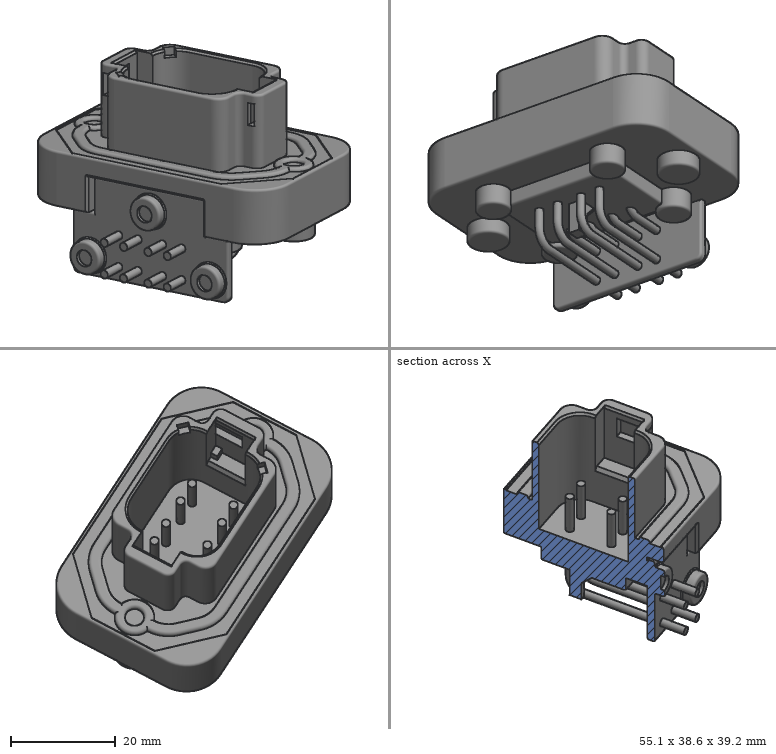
import cadquery as cq
import math


EDGE = 0.5

FLANGE_X, FLANGE_Y, FLANGE_Z = 55.1, 35.3, 11.25
FLANGE_CORNER = 7.6

RECESS_DEPTH = 0.2
RECESS_FLOOR = FLANGE_Z - RECESS_DEPTH
RECESS_HALF_X, RECESS_HALF_Y = 26.75, 17.0
RECESS_DIAGONAL = 33.75
BEAD_HALF_X, BEAD_HALF_Y = 22.5, 13.4
BEAD_DIAGONAL = 28.9
BEAD_BEND = 6.6
BEAD_WIDTH = 2.55
BEAD_HEIGHT = 0.7
BEAD_ROUND = 0.65
RING_OUTER, RING_INNER = 3.8, 1.8

SHROUD_TOP = 25.9
SHROUD_HALF_X, SHROUD_HALF_Y = 13.45, 11.35
SHROUD_CORNER = 2.55
EAR_HALF_X, EAR_HALF_Y = 18.25, 5.5
EAR_CORNER = 1.75
EAR_ROOT = 1.3

CAVITY_HALF_X, CAVITY_HALF_Y = 12.0, 9.75
CAVITY_CORNER = 4.95
CAVITY_FLOOR = 4.4
CAVITY_CHAMFER = 0.45
EAR_CAVITY_HALF_X, EAR_CAVITY_HALF_Y = 15.55, 4.3
EAR_FLOOR = 13.0
EAR_FLOOR_BEVEL = 0.7
EAR_KEY_X, EAR_KEY_Y, EAR_KEY_HEIGHT = 1.9, 1.45, 1.65

WINDOW_DEPTH = 1.5
WINDOW_BOTTOM, WINDOW_TOP = 19.5, 24.05
WINDOW_END_Y = 1.55

NOTCH_WIDTH, NOTCH_REACH, NOTCH_DEPTH = 2.25, 1.3, 1.65

BODY_HALF_X, BODY_HALF_Y = 13.25, 9.35
BODY_CORNER = 2.5
BODY_BOTTOM = -3.15
BOSS_RADIUS = 4.1
FOOT_X, FOOT_Y, FOOT_RADIUS, FOOT_BOTTOM = 13.5, 10.7, 3.4, -4.2

PLATE_BACK, PLATE_FRONT = -14.0, -15.7
PLATE_TOP, PLATE_SHOULDER, PLATE_BOTTOM = 6.85, -0.4, -13.35
PLATE_HALF_TOP, PLATE_HALF_BOTTOM = 12.8, 17.55
PLATE_CORNER = 1.3
PLATE_BACK_ROUND = 0.45
OPENING_HALF_X, OPENING_TOP = 12.95, 7.2

SCREW_RADIUS, SCREW_FRONT = 3.35, -17.85
SCREW_HOLE_RADIUS, SCREW_HOLE_DEPTH = 1.65, 0.8
SCREW_FLARE = 0.3
SCREW_X = 13.55
SCREW_LOW_Z, SCREW_HIGH_Z = -9.2, 2.2

PIN_RADIUS = 0.8
PIN_XS = (-7.1, -2.75, 2.75, 7.1)
PIN_TOP, PIN_END_Y = 12.7, -20.95
PIN_BEND = 3.35
PIN_ROWS = ((4.6, -10.35), (-4.6, -3.95))

RIB_HALF_X = 1.65
RIB_BACK_Y, RIB_FRONT_Y = 3.1, 0.5
RIB_BOTTOM = -9.5
RIB_GUSSET = 2.3


def block(half_x, half_y, z_low, z_high):
    """Upright box centred on the Z axis."""
    return (cq.Workplane("XY").workplane(offset=z_low)
            .rect(2 * half_x, 2 * half_y).extrude(z_high - z_low))


def cylinder(x, y, radius, z_low, z_high):
    return (cq.Workplane("XY").workplane(offset=z_low)
            .center(x, y).circle(radius).extrude(z_high - z_low))


def octagon(half_x, half_y, diagonal, height):
    """Eight-sided prism rising from the recess floor."""
    x_flat = diagonal - half_y
    y_flat = diagonal - half_x
    corners = [
        (half_x, -y_flat), (half_x, y_flat), (x_flat, half_y), (-x_flat, half_y),
        (-half_x, y_flat), (-half_x, -y_flat), (-x_flat, -half_y), (x_flat, -half_y),
    ]
    return (cq.Workplane("XY").workplane(offset=RECESS_FLOOR)
            .polyline(corners).close().extrude(height))


def bead_outline(shift):
    """Rounded octagon lying the given distance outside the bead centreline."""
    prism = octagon(BEAD_HALF_X + shift, BEAD_HALF_Y + shift,
                    BEAD_DIAGONAL + shift * math.sqrt(2), BEAD_HEIGHT)
    return prism.edges("|Z").fillet(BEAD_BEND + shift)


def make_flange():
    flange = block(FLANGE_X / 2, FLANGE_Y / 2, 0, FLANGE_Z).edges("|Z").fillet(FLANGE_CORNER)
    flange = flange.faces("<Z or >Z").edges().fillet(EDGE)
    recess = octagon(RECESS_HALF_X, RECESS_HALF_Y, RECESS_DIAGONAL, RECESS_DEPTH)
    return flange.cut(recess)


def make_seal():
    half_width = BEAD_WIDTH / 2
    bead = bead_outline(half_width).cut(bead_outline(-half_width))
    bead = bead.faces(">Z").edges().fillet(BEAD_ROUND)
    bead_top = RECESS_FLOOR + BEAD_HEIGHT
    for x in (-BEAD_HALF_X, BEAD_HALF_X):
        bead = bead.cut(cylinder(x, 0, RING_INNER + BEAD_ROUND, RECESS_FLOOR, bead_top))
        ring = cylinder(x, 0, RING_OUTER, RECESS_FLOOR, bead_top)
        ring = ring.cut(cylinder(x, 0, RING_INNER, RECESS_FLOOR, bead_top))
        bead = bead.union(ring.faces(">Z").edges().fillet(BEAD_ROUND))
    return bead


def make_shroud():
    base = RECESS_FLOOR
    main = block(SHROUD_HALF_X, SHROUD_HALF_Y, base, SHROUD_TOP).edges("|Z").fillet(SHROUD_CORNER)
    ears = block(EAR_HALF_X, EAR_HALF_Y, base, SHROUD_TOP).edges("|Z").fillet(EAR_CORNER)
    shroud = main.union(ears)
    root_reach = 0.05
    for side_x in (-1, 1):
        for side_y in (-1, 1):
            x = side_x * SHROUD_HALF_X
            y = side_y * EAR_HALF_Y
            root = cq.selectors.BoxSelector(
                (x - root_reach, y - root_reach, base), (x + root_reach, y + root_reach, SHROUD_TOP))
            shroud = shroud.edges(root).fillet(EAR_ROOT)
    return shroud.faces(">Z").edges().fillet(EDGE)


def make_cavity():
    main = block(CAVITY_HALF_X, CAVITY_HALF_Y, CAVITY_FLOOR, SHROUD_TOP)
    main = main.edges("|Z").fillet(CAVITY_CORNER)
    rim_base = SHROUD_TOP - CAVITY_CHAMFER
    rim_outline = (cq.Sketch().rect(2 * CAVITY_HALF_X, 2 * CAVITY_HALF_Y)
                   .vertices().fillet(CAVITY_CORNER))
    rim_flare = (cq.Workplane("XY").workplane(offset=rim_base)
                 .placeSketch(rim_outline).extrude(CAVITY_CHAMFER, taper=-45))

    right_side = [
        (CAVITY_HALF_X, EAR_FLOOR - EAR_FLOOR_BEVEL),
        (CAVITY_HALF_X + EAR_FLOOR_BEVEL, EAR_FLOOR),
        (EAR_CAVITY_HALF_X, EAR_FLOOR),
        (EAR_CAVITY_HALF_X, rim_base),
        (EAR_CAVITY_HALF_X + CAVITY_CHAMFER, SHROUD_TOP),
    ]
    left_side = [(-x, z) for x, z in reversed(right_side)]
    ears = (cq.Workplane("XZ").polyline(right_side + left_side).close()
            .extrude(EAR_CAVITY_HALF_Y, both=True))
    return main.union(rim_flare).union(ears)


def make_ear_key():
    """Small block in the -Y outer corner of the -X ear floor."""
    overlap = 0.55
    return (cq.Workplane("XY").workplane(offset=EAR_FLOOR - overlap)
            .center(-EAR_CAVITY_HALF_X, -EAR_CAVITY_HALF_Y)
            .rect(EAR_KEY_X, EAR_KEY_Y, centered=False).extrude(EAR_KEY_HEIGHT + overlap))


def make_windows():
    """Slots that enter the ears from the -Y side and stop inside the end walls."""
    length = WINDOW_END_Y + EAR_HALF_Y
    mid_x = EAR_CAVITY_HALF_X + WINDOW_DEPTH / 2
    mid_y = (WINDOW_END_Y - EAR_HALF_Y) / 2
    return (cq.Workplane("XY").workplane(offset=WINDOW_BOTTOM)
            .pushPoints([(-mid_x, mid_y), (mid_x, mid_y)])
            .rect(WINDOW_DEPTH, length).extrude(WINDOW_TOP - WINDOW_BOTTOM))


def make_rim_notches():
    notches = cq.Workplane("XY")
    reach = CAVITY_CORNER + NOTCH_REACH
    for side_y in (-1, 1):
        notch = (cq.Workplane("XY").box(reach, NOTCH_WIDTH, NOTCH_DEPTH, centered=(False, True, False))
                 .rotate((0, 0, 0), (0, 0, 1), side_y * 135)
                 .translate((CAVITY_CORNER - CAVITY_HALF_X,
                             side_y * (CAVITY_HALF_Y - CAVITY_CORNER),
                             SHROUD_TOP - NOTCH_DEPTH)))
        notches = notches.add(notch)
    return notches.combine()


def make_underside():
    """Central body, end bosses and four feet below the flange."""
    body = block(BODY_HALF_X, BODY_HALF_Y, BODY_BOTTOM, EDGE).edges("|Z").fillet(BODY_CORNER)
    body = body.faces("<Z").edges().fillet(EDGE)
    for x in (-BEAD_HALF_X, BEAD_HALF_X):
        boss = cylinder(x, 0, BOSS_RADIUS, BODY_BOTTOM, EDGE)
        body = body.union(boss.faces("<Z").edges().fillet(EDGE))
    for x in (-FOOT_X, FOOT_X):
        for y in (-FOOT_Y, FOOT_Y):
            foot = cylinder(x, y, FOOT_RADIUS, FOOT_BOTTOM, EDGE)
            body = body.union(foot.faces("<Z").edges().fillet(EDGE))
    return body


def make_opening():
    """Notch in the -Y face of the flange, with a flared front edge."""
    front = -FLANGE_Y / 2
    opening = (cq.Workplane("XZ", origin=(0, PLATE_BACK, 0))
               .rect(2 * OPENING_HALF_X, 2 * OPENING_TOP).extrude(PLATE_BACK - front))
    flare = (cq.Workplane("XZ", origin=(0, front + EDGE, 0))
             .rect(2 * OPENING_HALF_X, 2 * OPENING_TOP).extrude(EDGE, taper=-45))
    return opening.union(flare)


def make_plate():
    right_side = [
        (PLATE_HALF_BOTTOM, PLATE_BOTTOM),
        (PLATE_HALF_BOTTOM, PLATE_SHOULDER),
        (PLATE_HALF_TOP, PLATE_SHOULDER),
        (PLATE_HALF_TOP, PLATE_TOP),
    ]
    left_side = [(-x, z) for x, z in reversed(right_side)]
    plate = (cq.Workplane("XZ", origin=(0, PLATE_BACK, 0))
             .polyline(right_side + left_side).close().extrude(PLATE_BACK - PLATE_FRONT))
    plate = plate.edges("|Y").edges("<Z").fillet(PLATE_CORNER)
    plate = plate.faces("<Y").edges().fillet(EDGE)
    return plate.faces(">Y").edges().fillet(PLATE_BACK_ROUND)


def make_screws():
    screws = cq.Workplane("XY")
    for x, z in ((-SCREW_X, SCREW_LOW_Z), (0, SCREW_HIGH_Z), (SCREW_X, SCREW_LOW_Z)):
        head = (cq.Workplane("XZ", origin=(x, PLATE_FRONT, z))
                .circle(SCREW_RADIUS).extrude(PLATE_FRONT - SCREW_FRONT))
        head = head.faces("<Y").edges().fillet(EDGE)
        head = head.faces("<Y").workplane(centerOption="CenterOfBoundBox")
        head = head.circle(SCREW_HOLE_RADIUS).cutBlind(-SCREW_HOLE_DEPTH)
        skirt = (cq.Workplane("XZ", origin=(x, PLATE_FRONT, z))
                 .circle(SCREW_RADIUS + SCREW_FLARE).extrude(SCREW_FLARE, taper=45))
        screws = screws.add(head.union(skirt))
    return screws.combine()


def make_pin(x, row_y, row_z):
    """Round pin that stands in the cavity and bends toward -Y."""
    bend_mid = PIN_BEND * (1 - math.sqrt(0.5))
    path = (cq.Workplane("YZ", origin=(x, 0, 0))
            .moveTo(row_y, PIN_TOP)
            .lineTo(row_y, row_z + PIN_BEND)
            .threePointArc((row_y - bend_mid, row_z + bend_mid), (row_y - PIN_BEND, row_z))
            .lineTo(PIN_END_Y, row_z))
    return cq.Workplane("XY", origin=(x, row_y, PIN_TOP)).circle(PIN_RADIUS).sweep(path)


def make_rib():
    profile = [
        (RIB_BACK_Y, 0), (RIB_BACK_Y, RIB_BOTTOM), (RIB_FRONT_Y, RIB_BOTTOM),
        (RIB_FRONT_Y, BODY_BOTTOM - RIB_GUSSET), (RIB_FRONT_Y - RIB_GUSSET, BODY_BOTTOM),
        (RIB_FRONT_Y - RIB_GUSSET, 0),
    ]
    rib = cq.Workplane("YZ").polyline(profile).close().extrude(RIB_HALF_X, both=True)
    return rib.faces("<X or >X").edges().chamfer(EDGE)


part = make_flange().union(make_shroud()).union(make_seal())
part = part.cut(make_cavity()).union(make_ear_key())
part = part.cut(make_windows()).cut(make_rim_notches())
part = part.union(make_underside()).cut(make_opening())
part = part.union(make_plate()).union(make_screws()).union(make_rib())
for pin_y, pin_z in PIN_ROWS:
    for pin_x in PIN_XS:
        part = part.union(make_pin(pin_x, pin_y, pin_z))
result = part